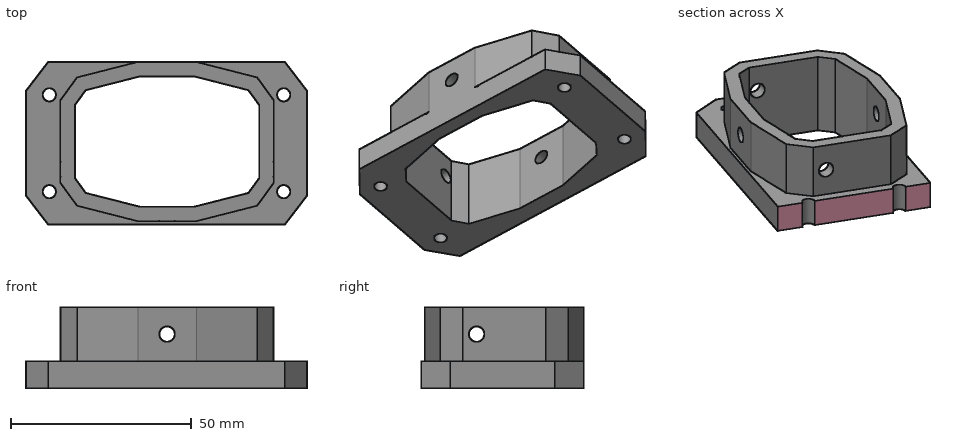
import cadquery as cq

plate_length = 77.9
plate_width = 45.05
plate_height = 7.55
corner_cut_x = 6.15
corner_cut_y = 8.0

total_height = 22.5
collar_half_length = 29.5
collar_half_width = 22.05
long_flat_half = 8.1
end_flat_half = 11.45
shoulder_x = 24.9
shoulder_y = 17.8
wall = 4.05
collar_x = 0.15
collar_y = plate_width / 2 - collar_half_width

mount_diameter = 3.6
mount_spacing_x = 64.9
mount_spacing_y = 26.8
cross_diameter = 4.2
cross_z = (plate_height + total_height) / 2
end_hole_offset = -7.6


def collar_outline():
    """Corners of the collar outline, counter-clockwise about its own centre."""
    quarter = [
        (collar_half_length, end_flat_half),
        (shoulder_x, shoulder_y),
        (long_flat_half, collar_half_width),
    ]
    upper = quarter + [(-x, y) for x, y in reversed(quarter)]
    return upper + [(-x, -y) for x, y in upper]


def collar_sketch(z):
    return cq.Workplane("XY", origin=(collar_x, collar_y, z)).polyline(collar_outline()).close()


def make_plate():
    half_x = plate_length / 2
    half_y = plate_width / 2
    upper = [
        (half_x, half_y - corner_cut_y),
        (half_x - corner_cut_x, half_y),
        (corner_cut_x - half_x, half_y),
        (-half_x, half_y - corner_cut_y),
    ]
    outline = upper + [(-x, -y) for x, y in upper]
    return cq.Workplane("XY").polyline(outline).close().extrude(plate_height)


def make_mount_holes():
    return (
        cq.Workplane("XY")
        .rarray(mount_spacing_x, mount_spacing_y, 2, 2)
        .circle(mount_diameter / 2)
        .extrude(plate_height)
    )


def make_cross_hole(plane, y_offset):
    """Cylinder passing through both opposite walls of the collar."""
    origin = (collar_x, collar_y + y_offset, cross_z)
    return (
        cq.Workplane(plane, origin=origin)
        .circle(cross_diameter / 2)
        .extrude(plate_length, both=True)
    )


collar = collar_sketch(plate_height).extrude(total_height - plate_height)
opening = collar_sketch(0).offset2D(-wall, "intersection").extrude(total_height)

result = make_plate().union(collar).cut(opening).cut(make_mount_holes())
result = result.cut(make_cross_hole("XZ", 0)).cut(make_cross_hole("YZ", end_hole_offset))